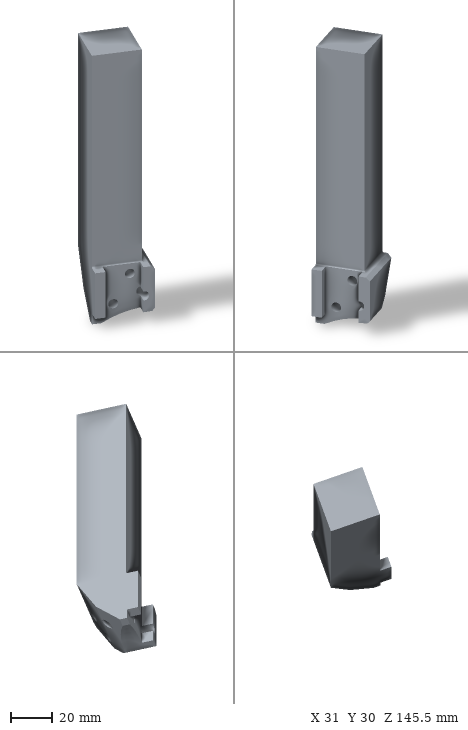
import cadquery as cq

total_height = 145.5
head_length = 31.0
head_width = 30.0
head_top = 30.4

shank_side = 25.0
root_radius = 0.9

slope_break_x = 9.7
slope_break_z = 12.2
tip_x = 21.8
step_x = 25.5
step_z = 5.7

top_bevel_width = 2.2
top_bevel_height = 1.7
bottom_bevel = 1.5
wing_bottom = 6.1
tip_width = 4.7

slot_start = 5.2
slot_end = 24.2

hole_diameter = 5.0
hole_centres = [(18.9, 25.0), (24.6, 14.8), (10.6, 9.7)]


def make_flared_profile(plane, extrusion):
    """Shank outline with a concave fillet at the foot of its outer edge."""
    return (
        cq.Workplane(plane)
        .moveTo(0, head_top)
        .lineTo(shank_side + root_radius, head_top)
        .radiusArc((shank_side, head_top + root_radius), root_radius)
        .lineTo(shank_side, total_height)
        .lineTo(0, total_height)
        .close()
        .extrude(extrusion)
    )


def make_shank():
    """Crossing two flared profiles gives a square shank with mitred root fillets."""
    flared_side = shank_side + root_radius
    return make_flared_profile("XZ", -flared_side).intersect(make_flared_profile("YZ", flared_side))


def make_side_profile():
    """Head outline in XZ, extruded across the full width."""
    return (
        cq.Workplane("XZ")
        .moveTo(tip_x, 0)
        .lineTo(step_x, 0)
        .lineTo(step_x, step_z)
        .lineTo(head_length, step_z)
        .lineTo(head_length, head_top)
        .lineTo(0, head_top)
        .lineTo(slope_break_x, slope_break_z)
        .close()
        .extrude(-head_width)
    )


def make_width_profile():
    """Head outline in YZ; the underside arc starts horizontal at the wing's edge."""
    arc_start_y = head_width - bottom_bevel
    arc_run = arc_start_y - tip_width
    arc_radius = (arc_run**2 + wing_bottom**2) / (2 * wing_bottom)
    return (
        cq.Workplane("YZ")
        .moveTo(0, 0)
        .lineTo(0, head_top)
        .lineTo(head_width - top_bevel_width, head_top)
        .lineTo(head_width, head_top - top_bevel_height)
        .lineTo(head_width, wing_bottom + bottom_bevel)
        .lineTo(arc_start_y, wing_bottom)
        .radiusArc((tip_width, 0), -arc_radius)
        .close()
        .extrude(head_length)
    )


def make_slot():
    """Slot tall enough to trim the root fillet above the head as well."""
    depth = head_length - step_x
    height = head_top + root_radius
    slot = cq.Workplane("XY").box(depth, slot_end - slot_start, height, centered=False)
    return slot.translate((step_x, slot_start, 0))


def make_holes():
    return cq.Workplane("YZ").pushPoints(hole_centres).circle(hole_diameter / 2).extrude(head_length)


head = make_side_profile().intersect(make_width_profile())
body = head.union(make_shank())
result = body.cut(make_slot()).cut(make_holes())